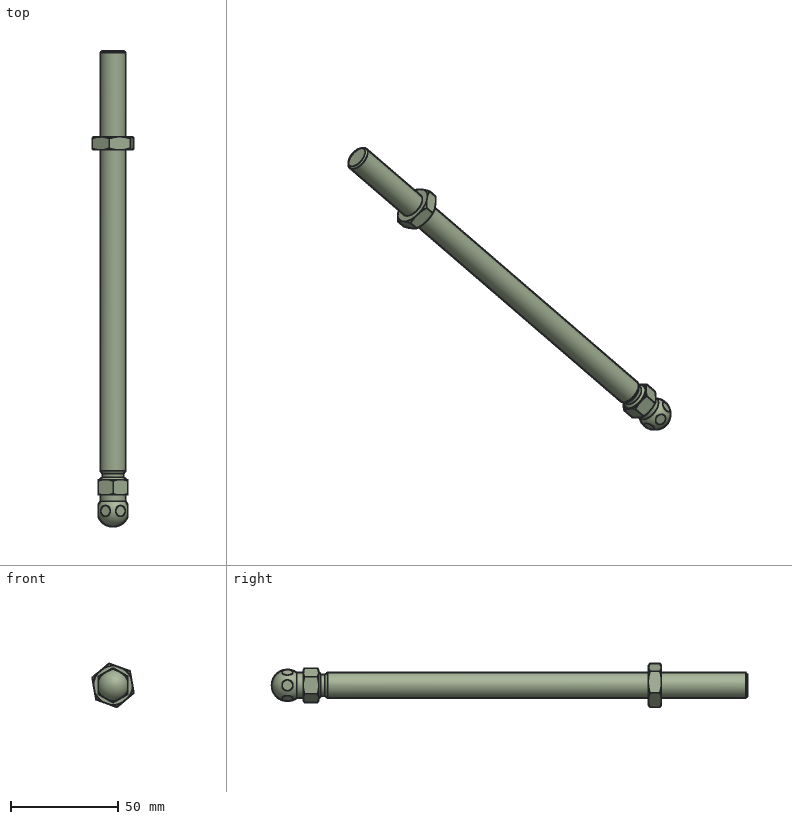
import cadquery as cq
import math

length = 222.0
tip_y = -length / 2
end_y = length / 2

rod_radius = 6.0
ball_diameter = 14.9
ball_radius = ball_diameter / 2
end_chamfer = 0.9
ball_center_y = tip_y + ball_radius
ball_neck_y = ball_center_y + math.sqrt(ball_radius**2 - rod_radius**2)

stem_hex_flats = 14.0
stem_hex_start_y = tip_y + 14.9
stem_hex_length = 7.0
stem_hex_chamfer_radius = 7.0
stem_hex_end_y = stem_hex_start_y + stem_hex_length

collar_length = 1.0
collar_radius = 6.5
undercut_radius = 5.0
undercut_length = 1.8
undercut_taper = 1.3

nut_flats = 18.0
nut_length = 6.0
nut_start_y = 64.8
nut_turn = 10.0
nut_chamfer_radius = 9.0

hex_half_angle = math.pi / 6

hex_chamfer_angle = 30.0


def hex_prism(across_flats, start_y, prism_length, turn):
    """Hexagonal prism along +Y, with a corner toward +Z turned by `turn` degrees toward -X."""
    corner_diameter = across_flats / math.cos(hex_half_angle)
    return (
        cq.Workplane("XY")
        .polygon(6, corner_diameter)
        .extrude(prism_length)
        .rotate((0, 0, 0), (0, 0, 1), 90 + turn)
        .rotate((0, 0, 0), (1, 0, 0), 90)
        .translate((0, start_y + prism_length, 0))
    )


def revolve_about_y(profile):
    return profile.close().revolve(360, (0, 0, 0), (0, 1, 0))


def chamfered_hex(across_flats, start_y, prism_length, turn, chamfer_radius):
    """Hexagonal prism whose corners are cut conically, down to `chamfer_radius` on both faces."""
    corner_radius = across_flats / 2 / math.cos(hex_half_angle)
    chamfer_depth = (corner_radius - chamfer_radius) * math.tan(math.radians(hex_chamfer_angle))
    prism_end_y = start_y + prism_length
    envelope = revolve_about_y(
        cq.Workplane("XY")
        .moveTo(0, start_y)
        .lineTo(chamfer_radius, start_y)
        .lineTo(corner_radius, start_y + chamfer_depth)
        .lineTo(corner_radius, prism_end_y - chamfer_depth)
        .lineTo(chamfer_radius, prism_end_y)
        .lineTo(0, prism_end_y)
    )
    return hex_prism(across_flats, start_y, prism_length, turn).intersect(envelope)


def make_ball_end():
    """Ball and its neck, with six flats on the ball in line with the hexagon."""
    ball = revolve_about_y(
        cq.Workplane("XY")
        .moveTo(0, tip_y)
        .threePointArc((ball_radius, ball_center_y), (rod_radius, ball_neck_y))
        .lineTo(rod_radius, stem_hex_start_y)
        .lineTo(0, stem_hex_start_y)
    )
    return ball.intersect(hex_prism(stem_hex_flats, tip_y, stem_hex_start_y - tip_y, 0))


def make_rod():
    """Tapered collar, undercut and plain rod with a chamfered end."""
    collar_end_y = stem_hex_end_y + collar_length
    taper_start_y = collar_end_y + undercut_length
    return revolve_about_y(
        cq.Workplane("XY")
        .moveTo(0, stem_hex_end_y)
        .lineTo(collar_radius, stem_hex_end_y)
        .lineTo(undercut_radius, collar_end_y)
        .lineTo(undercut_radius, taper_start_y)
        .lineTo(rod_radius, taper_start_y + undercut_taper)
        .lineTo(rod_radius, end_y - end_chamfer)
        .lineTo(rod_radius - end_chamfer, end_y)
        .lineTo(0, end_y)
    )


def make_stem():
    wrench_hex = chamfered_hex(
        stem_hex_flats, stem_hex_start_y, stem_hex_length, 0, stem_hex_chamfer_radius
    )
    return make_ball_end().union(wrench_hex).union(make_rod())


def make_nut():
    """Hexagon nut with a bore that fits the rod."""
    blank = chamfered_hex(nut_flats, nut_start_y, nut_length, nut_turn, nut_chamfer_radius)
    bore = (
        cq.Workplane("XZ", origin=(0, nut_start_y, 0))
        .circle(rod_radius)
        .extrude(-nut_length)
    )
    return blank.cut(bore)


stem = make_stem()
nut = make_nut()
result = cq.Compound.makeCompound([stem.val(), nut.val()])